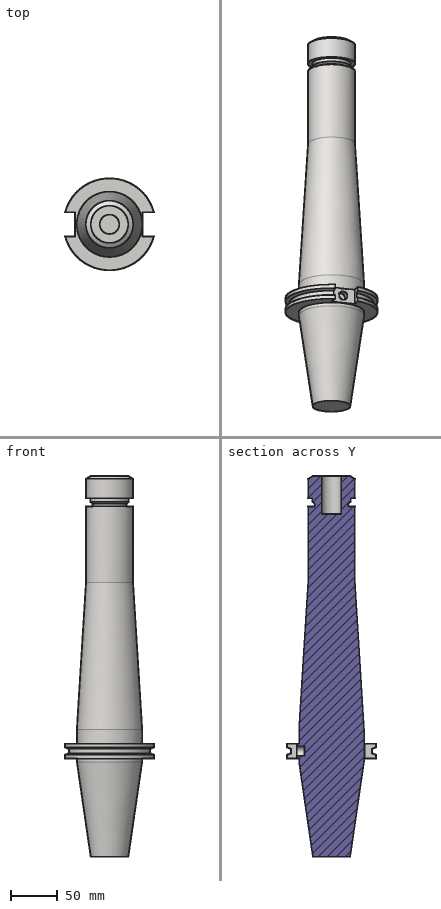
import cadquery as cq

total_height = 406.5
gauge_height = 101.5
flange_bottom = 105.0
flange_top = 120.5
shoulder_height = 136.0
shank_start = 293.0
shank_top = 374.0
neck_cone_bottom = 376.7
neck_cone_top = 378.8
nut_bottom = 382.5
nut_chamfer_height = 3.3

taper_ratio = 7 / 24
body_radius = 35.0
taper_end_radius = body_radius - gauge_height * taper_ratio / 2
flange_radius = 49.0
shank_radius = 25.0
neck_radius = 20.7
neck_root_radius = 18.3
nut_face_radius = 20.0

groove_floor_radius = 45.0
groove_mouth_width = 7.7
groove_floor_width = 4.5
groove_center = (flange_bottom + flange_top) / 2

slot_width = 25.5
left_slot_floor = 37.0
right_slot_floor = 35.5
slot_hole_diameter = 9.5
slot_hole_depth = 8.0

bore_diameter = 20.7
bore_depth = 40.5


def make_holder():
    """Revolve the complete outside profile about Z."""
    profile = [
        (0, 0),
        (taper_end_radius, 0),
        (body_radius, gauge_height),
        (body_radius, flange_bottom),
        (flange_radius, flange_bottom),
        (flange_radius, groove_center - groove_mouth_width / 2),
        (groove_floor_radius, groove_center - groove_floor_width / 2),
        (groove_floor_radius, groove_center + groove_floor_width / 2),
        (flange_radius, groove_center + groove_mouth_width / 2),
        (flange_radius, flange_top),
        (body_radius, flange_top),
        (body_radius, shoulder_height),
        (shank_radius, shank_start),
        (shank_radius, shank_top),
        (neck_root_radius, shank_top),
        (neck_root_radius, neck_cone_bottom),
        (neck_radius, neck_cone_top),
        (neck_radius, nut_bottom),
        (shank_radius, nut_bottom),
        (shank_radius, total_height - nut_chamfer_height),
        (nut_face_radius, total_height),
        (0, total_height),
    ]
    return cq.Workplane("XZ").polyline(profile).close().revolve(360, (0, 0), (0, 1))


def make_slot(side, floor):
    """Cutter for one drive slot; side is -1 for -X and 1 for +X."""
    slot_length = flange_radius
    return (
        cq.Workplane("XY")
        .box(slot_length, slot_width, flange_top - flange_bottom)
        .translate((side * (floor + slot_length / 2), 0, groove_center))
    )


def make_slot_hole():
    """Cutter for the blind radial hole in the -X slot floor."""
    return (
        cq.Workplane("YZ", origin=(-left_slot_floor, 0, groove_center))
        .circle(slot_hole_diameter / 2)
        .extrude(slot_hole_depth)
    )


result = (
    make_holder()
    .cut(make_slot(-1, left_slot_floor))
    .cut(make_slot(1, right_slot_floor))
    .cut(make_slot_hole())
    .faces(">Z")
    .workplane()
    .hole(bore_diameter, bore_depth)
)